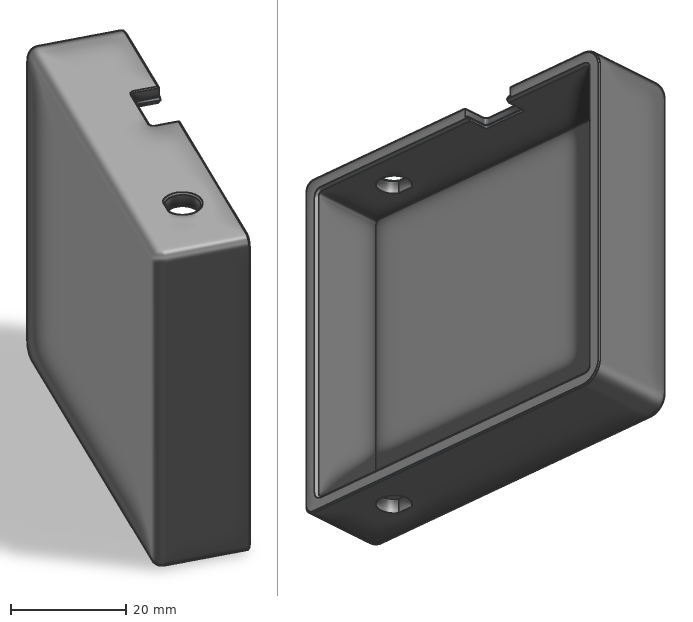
import cadquery as cq

width = 71.0
depth = 17.5
height = 66.0
back_y = depth / 2
top_z = height / 2

wall = 2.75
left_corner_radius = 4.0
right_corner_radius = 2.0
front_edge_radius = 2.0
inner_corner_radius = 1.0
outer_rim_chamfer = 0.25
inner_rim_chamfer = 0.5

overshoot = 5.0

notch_x = -8.55
notch_width = 10.9
notch_depth = 5.25
notch_corner_radius = 0.75
notch_chamfer = 0.25
notch_ledge_z = top_z - 1.85
opening_inset = 0.8
opening_corner_radius = 0.5
opening_chamfer = 0.4
opening_width = notch_width - 2 * opening_inset
opening_depth = notch_depth - opening_inset

jack_x = 21.5
jack_y = back_y - 7.7
jack_radius = 3.15
jack_flat_offset = 2.75
jack_chamfer = 0.35


def rounded_block(size_x, size_z, front_y, left_radius, right_radius):
    """Block from front_y to the back face, with rounded corners about Y."""
    block = cq.Workplane("XY").box(size_x, back_y - front_y, size_z)
    block = block.translate((0, (back_y + front_y) / 2, 0))
    block = block.edges("|Y and <X").fillet(left_radius)
    return block.edges("|Y and >X").fillet(right_radius)


def make_cavity():
    """Hollow inside the walls, flared by a chamfer at the open rim."""
    size_x = width - 2 * wall
    size_z = height - 2 * wall
    cavity = rounded_block(size_x, size_z, wall - back_y, inner_corner_radius, inner_corner_radius)
    flare = (
        cq.Workplane("XZ", origin=(0, back_y, 0))
        .sketch()
        .rect(size_x + 2 * inner_rim_chamfer, size_z + 2 * inner_rim_chamfer)
        .vertices()
        .fillet(inner_corner_radius + inner_rim_chamfer)
        .finalize()
        .extrude(inner_rim_chamfer, taper=45)
    )
    return cavity.union(flare)


def make_shell():
    """Rounded tray with a filleted front and chamfered rim edges."""
    body = rounded_block(width, height, -back_y, left_corner_radius, right_corner_radius)
    body = body.faces("<Y").edges().fillet(front_edge_radius)
    body = body.faces(">Y").edges().chamfer(outer_rim_chamfer)
    return body.cut(make_cavity())


def notch_prism(size_x, depth_y, corner_radius, start_z, drop, taper=0):
    """Prism going down from start_z, reaching past the back so it stays open there."""
    size_y = depth_y + overshoot
    profile = cq.Sketch().rect(size_x, size_y).vertices().fillet(corner_radius)
    center_y = back_y + overshoot - size_y / 2
    plane = cq.Workplane("XY", origin=(notch_x, center_y, start_z))
    return plane.placeSketch(profile).extrude(-drop, taper=taper)


def chamfered_notch(size_x, depth_y, corner_radius, chamfer, start_z, drop):
    """Notch prism with a chamfer around its upper edge."""
    prism = notch_prism(size_x, depth_y, corner_radius, start_z, drop)
    flare = notch_prism(
        size_x + 2 * chamfer,
        depth_y + chamfer,
        corner_radius + chamfer,
        start_z,
        chamfer,
        taper=45,
    )
    return prism.union(flare)


def make_notch():
    """Wide recess down to a ledge, then a narrower opening through the wall."""
    recess = chamfered_notch(
        notch_width, notch_depth, notch_corner_radius, notch_chamfer, top_z, top_z - notch_ledge_z
    )
    opening = chamfered_notch(
        opening_width, opening_depth, opening_corner_radius, opening_chamfer, notch_ledge_z, wall
    )
    return recess.union(opening)


def make_jack_hole():
    """D-shaped hole along Z with a chamfer around its upper edge."""
    flat_cut = (
        cq.Workplane("XY", origin=(jack_x, jack_y - jack_flat_offset, 0))
        .box(4 * jack_radius, 2 * jack_radius, 2 * height, centered=(True, False, True))
    )
    hole = (
        cq.Workplane("XY", origin=(jack_x, jack_y, -top_z - overshoot))
        .circle(jack_radius)
        .extrude(height + overshoot)
        .intersect(flat_cut)
    )
    rim = hole.faces(">Z").wires().toPending().offset2D(jack_chamfer)
    return hole.union(rim.extrude(-jack_chamfer, taper=45))


result = make_shell().cut(make_notch()).cut(make_jack_hole())